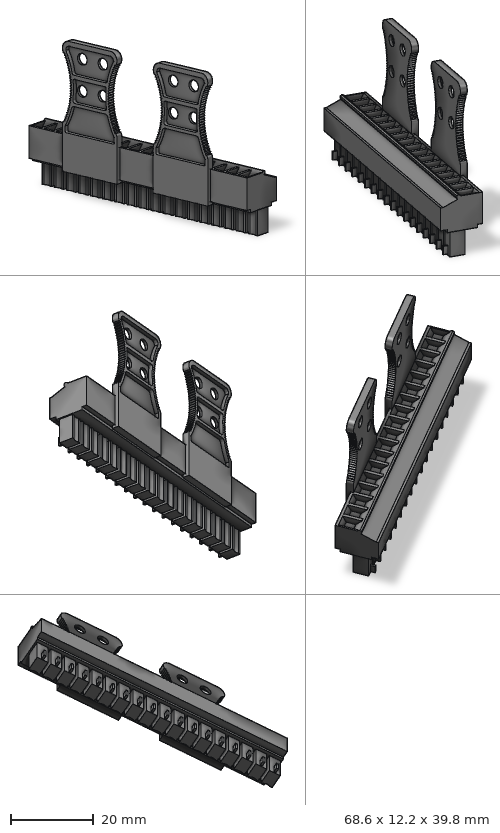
import cadquery as cq
import math

LENGTH = 68.6
DEPTH = 12.2
HEIGHT = 39.8
POLES = 18
POLE_PITCH = LENGTH / POLES

HOUSING_FRONT = 1.1
HOUSING_TOP = 15.7
HOUSING_BOTTOM = 6.65
STEP_Z = 7.5
FRONT_STEP_Y = 2.4
REAR_STEP_Y = 10.35
REAR_EDGE_Z = 13.45
REAR_EDGE_WIDTH = 0.6
SLOPE_TOP_Y = 7.75
SLOPE_TOP_Z = 14.95

BEAD_REAR = 7.9
BEAD_REAR_BOTTOM = 15.3
BEAD_REAR_TOP = 15.85
BEAD_CREST_Y = 7.5
BEAD_TOP = 16.1
BEAD_FRONT = 6.8

CAVITY_WIDTH = 3.0
CAVITY_FRONT = 1.85
CAVITY_REAR = BEAD_FRONT
CAVITY_FLOOR_Z = 13.85
FLOOR_FRONT = 2.75
FLOOR_REAR = 5.2

FINGER_WIDTH = 3.0
FINGER_FRONT = 5.55
FINGER_REAR = 9.5
GROOVE_WIDTH = 1.85
GROOVE_DEPTH = 0.3
CATCH_WIDTH = 0.55
CATCH_DEPTH = 1.25
CATCH_BOTTOM = 0.35
CATCH_TOP = 2.55

HANDLE_SPACING = 7.5 * POLE_PITCH
HANDLE_WIDTH = 17.15
HANDLE_THICKNESS = 1.85
CORNER_RADIUS = 2.05
SHOULDER_Z = 18.45
SHOULDER_ANGLE = -29.0
WAIST_Z = 28.0
WAIST_HALF_WIDTH = 6.1
WAIST_RADIUS = 18.4
WAIST_CENTER_X = WAIST_HALF_WIDTH + WAIST_RADIUS
TOOTH_ANGLE = 2.0
TOOTH_DEPTH = 0.35
TEETH_EACH_WAY = 14

POCKET_DEPTH = 1.1
RIM = 1.0
POCKETS = [
    (16.6, 23.65, 7.7, 0.35, 0.9),
    (24.5, 30.5, 7.7, 0.75, 0.4),
    (31.55, 38.55, 7.5, 0.55, 1.1),
]
HOLE_DIAMETER = 2.95
HOLE_X = 3.2
HOLE_HEIGHTS = [27.6, 35.65]


def pole_positions():
    return [(i - (POLES - 1) / 2) * POLE_PITCH for i in range(POLES)]


def extrude_along_x(outline, center_x, width):
    """Extrude a closed (Y, Z) outline symmetrically about center_x."""
    plane = cq.Workplane("YZ", origin=(center_x, 0, 0))
    return plane.polyline(outline).close().extrude(width / 2, both=True)


def box_between(x_range, y_range, z_range):
    sizes = [high - low for low, high in (x_range, y_range, z_range)]
    corner = (x_range[0], y_range[0], z_range[0])
    return cq.Workplane("XY", origin=corner).box(*sizes, centered=False)



def housing_block():
    bead_drop = BEAD_TOP - HOUSING_TOP
    bead_radius = ((BEAD_CREST_Y - BEAD_FRONT) ** 2 + bead_drop ** 2) / (2 * bead_drop)
    outline = [
        (HOUSING_FRONT, HOUSING_TOP),
        (HOUSING_FRONT, STEP_Z),
        (FRONT_STEP_Y, STEP_Z),
        (FRONT_STEP_Y, HOUSING_BOTTOM),
        (REAR_STEP_Y, HOUSING_BOTTOM),
        (REAR_STEP_Y, STEP_Z),
        (DEPTH, STEP_Z),
        (DEPTH, REAR_EDGE_Z),
        (DEPTH - REAR_EDGE_WIDTH, REAR_EDGE_Z),
        (SLOPE_TOP_Y, SLOPE_TOP_Z),
        (BEAD_REAR, BEAD_REAR_BOTTOM),
        (BEAD_REAR, BEAD_REAR_TOP),
        (BEAD_CREST_Y, BEAD_TOP),
    ]
    round_middle_y = (BEAD_CREST_Y + BEAD_FRONT) / 2
    round_middle_rise = math.sqrt(bead_radius ** 2 - (BEAD_CREST_Y - round_middle_y) ** 2)
    round_middle = (round_middle_y, BEAD_TOP - bead_radius + round_middle_rise)
    return (
        cq.Workplane("YZ")
        .polyline(outline)
        .threePointArc(round_middle, (BEAD_FRONT, HOUSING_TOP))
        .close()
        .extrude(LENGTH / 2, both=True)
    )


def pole_cavity(x):
    outline = [
        (CAVITY_FRONT, HOUSING_TOP),
        (FLOOR_FRONT, CAVITY_FLOOR_Z),
        (FLOOR_REAR, CAVITY_FLOOR_Z),
        (CAVITY_REAR, HOUSING_TOP),
    ]
    return extrude_along_x(outline, x, CAVITY_WIDTH)


def plug_finger(x):
    sides = (x - FINGER_WIDTH / 2, x + FINGER_WIDTH / 2)
    finger = box_between(sides, (FINGER_FRONT, FINGER_REAR), (0, HOUSING_BOTTOM))
    catch_sides = (x - CATCH_WIDTH / 2, x + CATCH_WIDTH / 2)
    catch = box_between(catch_sides, (FINGER_REAR, FINGER_REAR + CATCH_DEPTH), (CATCH_BOTTOM, CATCH_TOP))
    groove = (
        cq.Workplane("XY")
        .moveTo(x - GROOVE_WIDTH / 2, FINGER_FRONT)
        .threePointArc((x, FINGER_FRONT + GROOVE_DEPTH), (x + GROOVE_WIDTH / 2, FINGER_FRONT))
        .close()
        .extrude(HOUSING_BOTTOM)
    )
    return finger.cut(groove).union(catch)


def make_housing():
    housing = housing_block()
    for x in pole_positions():
        housing = housing.cut(pole_cavity(x)).union(plug_finger(x))
    return housing



def waist_point(angle, radius):
    """Point (half width, Z) on an arc about the waist centre; the angle in degrees is 0 at the waist."""
    radians = math.radians(angle)
    return (WAIST_CENTER_X - radius * math.cos(radians), WAIST_Z + radius * math.sin(radians))


def toothed_edge():
    """Points of the grip teeth, from the lowest tip to the highest."""
    points = []
    for i in range(-TEETH_EACH_WAY, TEETH_EACH_WAY):
        points.append(waist_point(i * TOOTH_ANGLE, WAIST_RADIUS))
        points.append(waist_point((i + 0.5) * TOOTH_ANGLE, WAIST_RADIUS + TOOTH_DEPTH))
    points.append(waist_point(TEETH_EACH_WAY * TOOTH_ANGLE, WAIST_RADIUS))
    return points


def handle_plate():
    half = HANDLE_WIDTH / 2
    corner_x = half - CORNER_RADIUS
    corner_offset = CORNER_RADIUS * math.sqrt(0.5)
    corner_middle = (corner_x + corner_offset, HEIGHT - CORNER_RADIUS + corner_offset)
    right_half = (
        cq.Workplane("XZ")
        .moveTo(0, HOUSING_BOTTOM)
        .lineTo(half, HOUSING_BOTTOM)
        .lineTo(half, SHOULDER_Z)
        .tangentArcPoint(waist_point(SHOULDER_ANGLE, WAIST_RADIUS), relative=False)
    )
    for point in toothed_edge():
        right_half = right_half.lineTo(*point)
    right_half = (
        right_half
        .threePointArc(corner_middle, (corner_x, HEIGHT))
        .lineTo(0, HEIGHT)
        .close()
        .extrude(-HANDLE_THICKNESS)
    )
    return right_half.union(right_half.mirror("YZ"))


def handle_pocket(bottom, top, half_width, bottom_radius, top_radius):
    waist_sides = (
        cq.Workplane("XZ")
        .pushPoints([(-WAIST_CENTER_X, WAIST_Z), (WAIST_CENTER_X, WAIST_Z)])
        .circle(WAIST_RADIUS + RIM)
        .extrude(-POCKET_DEPTH)
    )
    pocket = box_between((-half_width, half_width), (0, POCKET_DEPTH), (bottom, top)).cut(waist_sides)
    pocket = pocket.faces(">Z").edges("|Y").fillet(top_radius)
    return pocket.faces("<Z").edges("|Y").fillet(bottom_radius)


def make_handle(x):
    handle = handle_plate()
    for pocket in POCKETS:
        handle = handle.cut(handle_pocket(*pocket))

    holes = [(side * HOLE_X, z) for side in (-1, 1) for z in HOLE_HEIGHTS]
    hole_cutter = cq.Workplane("XZ").pushPoints(holes).circle(HOLE_DIAMETER / 2).extrude(-HANDLE_THICKNESS)
    handle = handle.cut(hole_cutter)

    wall_recess = box_between(
        (-HANDLE_WIDTH / 2, HANDLE_WIDTH / 2), (HOUSING_FRONT, HANDLE_THICKNESS), (STEP_Z, HOUSING_TOP)
    )
    return handle.cut(wall_recess).translate((x, 0, 0))


housing = make_housing()
handles = [make_handle(side * HANDLE_SPACING / 2) for side in (-1, 1)]

result = cq.Compound.makeCompound([housing.val(), *[handle.val() for handle in handles]])